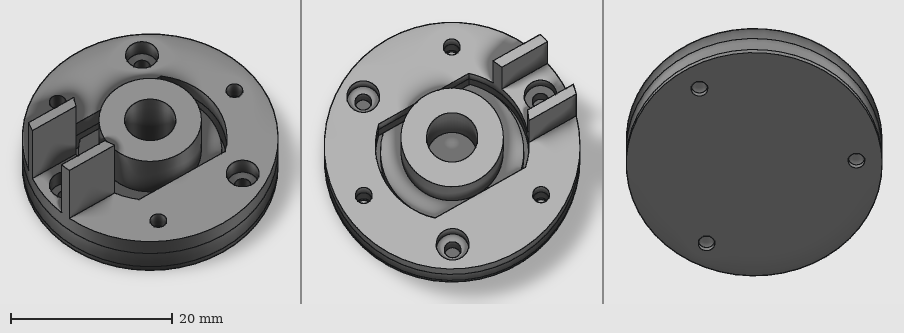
import cadquery as cq

PLATE_DIAMETER = 31.75
BASE_THICKNESS = 0.79
SPACER_THICKNESS = 2.79
COVER_THICKNESS = 2.54
SPACER_BOTTOM = BASE_THICKNESS
COVER_BOTTOM = SPACER_BOTTOM + SPACER_THICKNESS
COVER_TOP = COVER_BOTTOM + COVER_THICKNESS

OPENING_DIAMETER = 19.05
OPENING_WIDTH = 13.97

HUB_CLEARANCE = 0.635
FLANGE_DIAMETER = OPENING_DIAMETER - 2 * HUB_CLEARANCE
FLANGE_WIDTH = OPENING_WIDTH - 2 * HUB_CLEARANCE
FLANGE_TOP_GAP = 0.13
FLANGE_THICKNESS = SPACER_THICKNESS - FLANGE_TOP_GAP
BOSS_DIAMETER = FLANGE_WIDTH
BOSS_RISE = 3.81
BORE_DIAMETER = 6.35

RECESS_DIAMETER = 13.97
RECESS_DEPTH = BASE_THICKNESS / 2

BOLT_CIRCLE_RADIUS = 12.7
HOLES_PER_SET = 3
SCREW_HOLE_DIAMETER = 2.06
HEAD_HOLE_DIAMETER = 4.06
THROUGH_SET_ANGLE = 90
HEAD_SET_ANGLE = 30

TAB_HEIGHT = 10.16
TAB_THICKNESS = 1.27
TAB_INNER_SPACING = 6.35


def disc(diameter, bottom, height):
    """Solid cylinder on the Z axis."""
    return cq.Workplane("XY").workplane(offset=bottom).circle(diameter / 2).extrude(height)


def double_d(diameter, width, bottom, height):
    """Cylinder on the Z axis with two flats facing -X and +X."""
    flats = cq.Workplane("XY").workplane(offset=bottom).rect(width, diameter).extrude(height)
    return disc(diameter, bottom, height).intersect(flats)


def hole_set(start_angle, diameter, bottom, height):
    """Three equally spaced cylinders on the bolt circle, used as cutters."""
    return (
        cq.Workplane("XY")
        .workplane(offset=bottom)
        .polarArray(BOLT_CIRCLE_RADIUS, start_angle, 360, HOLES_PER_SET)
        .circle(diameter / 2)
        .extrude(height)
    )


def make_base():
    """Thin closing plate with the recess and the through screw holes."""
    base = disc(PLATE_DIAMETER, 0, BASE_THICKNESS)
    recess = disc(RECESS_DIAMETER, BASE_THICKNESS - RECESS_DEPTH, RECESS_DEPTH)
    screw_holes = hole_set(THROUGH_SET_ANGLE, SCREW_HOLE_DIAMETER, 0, BASE_THICKNESS)
    return base.cut(recess).cut(screw_holes)


def make_spacer():
    """Middle plate around the hub flange, with screw holes of both sets."""
    spacer = disc(PLATE_DIAMETER, SPACER_BOTTOM, SPACER_THICKNESS)
    spacer = spacer.cut(double_d(OPENING_DIAMETER, OPENING_WIDTH, SPACER_BOTTOM, SPACER_THICKNESS))
    for start_angle in (THROUGH_SET_ANGLE, HEAD_SET_ANGLE):
        spacer = spacer.cut(hole_set(start_angle, SCREW_HOLE_DIAMETER, SPACER_BOTTOM, SPACER_THICKNESS))
    return spacer


def make_tab(side):
    """Upright tab from the opening to the rim, on the -X (-1) or +X (+1) side."""
    center_x = side * (TAB_INNER_SPACING + TAB_THICKNESS) / 2
    reach = PLATE_DIAMETER / 2
    height = COVER_THICKNESS + TAB_HEIGHT
    strip = (
        cq.Workplane("XY")
        .workplane(offset=COVER_BOTTOM)
        .center(center_x, -reach / 2)
        .rect(TAB_THICKNESS, reach)
        .extrude(height)
    )
    rim = disc(PLATE_DIAMETER, COVER_BOTTOM, height)
    return strip.intersect(rim).cut(disc(OPENING_DIAMETER, COVER_BOTTOM, height))


def make_cover():
    """Top plate with the opening, both hole sets and the two tabs."""
    cover = disc(PLATE_DIAMETER, COVER_BOTTOM, COVER_THICKNESS)
    cover = cover.cut(double_d(OPENING_DIAMETER, OPENING_WIDTH, COVER_BOTTOM, COVER_THICKNESS))
    cover = cover.cut(hole_set(THROUGH_SET_ANGLE, SCREW_HOLE_DIAMETER, COVER_BOTTOM, COVER_THICKNESS))
    cover = cover.cut(hole_set(HEAD_SET_ANGLE, HEAD_HOLE_DIAMETER, COVER_BOTTOM, COVER_THICKNESS))
    for side in (-1, 1):
        cover = cover.union(make_tab(side))
    return cover


def make_hub():
    """Double-D flange resting on the base, with a bored boss above it."""
    height = COVER_TOP + BOSS_RISE - SPACER_BOTTOM
    flange = double_d(FLANGE_DIAMETER, FLANGE_WIDTH, SPACER_BOTTOM, FLANGE_THICKNESS)
    boss = disc(BOSS_DIAMETER, SPACER_BOTTOM, height)
    bore = disc(BORE_DIAMETER, SPACER_BOTTOM, height)
    return flange.union(boss).cut(bore)


base = make_base()
spacer = make_spacer()
cover = make_cover()
hub = make_hub()

result = cq.Compound.makeCompound([base.val(), spacer.val(), cover.val(), hub.val()])